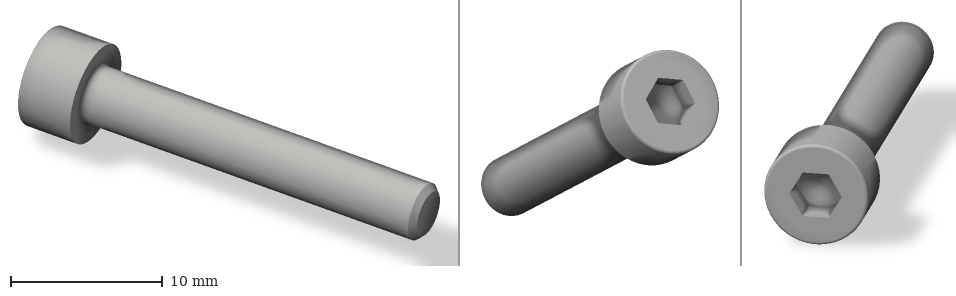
import cadquery as cq
import math

total_length = 29.0
head_diameter = 7.0
head_length = 4.0
head_edge_radius = 0.2
shank_diameter = 4.0
neck_fillet = 0.23
tip_chamfer = 0.44
socket_across_flats = 3.05
socket_depth = 2.0
socket_cone_angle = 120.0

head_radius = head_diameter / 2
shank_radius = shank_diameter / 2


def make_body():
    """Head and shank revolved about X, with a concave fillet under the head."""
    arc_middle = neck_fillet * (1 - math.sqrt(0.5))
    neck_end = head_length + neck_fillet
    return (
        cq.Workplane("XY")
        .lineTo(0, head_radius - head_edge_radius)
        .radiusArc((head_edge_radius, head_radius), head_edge_radius)
        .lineTo(head_length, head_radius)
        .lineTo(head_length, shank_radius + neck_fillet)
        .threePointArc(
            (head_length + arc_middle, shank_radius + arc_middle),
            (neck_end, shank_radius),
        )
        .lineTo(total_length - tip_chamfer, shank_radius)
        .lineTo(total_length, shank_radius - tip_chamfer)
        .lineTo(total_length, 0)
        .close()
        .revolve(360, (0, 0, 0), (1, 0, 0))
    )


def make_socket():
    """Hexagonal recess with corners toward +Y and -Y and a conical bottom."""
    across_corners = socket_across_flats / math.cos(math.pi / 6)
    hexagon = cq.Workplane("YZ").polygon(6, across_corners).extrude(socket_depth)
    cone_radius = socket_across_flats / 2
    cone_depth = cone_radius / math.tan(math.radians(socket_cone_angle / 2))
    cone = (
        cq.Workplane("XY")
        .moveTo(socket_depth, 0)
        .lineTo(socket_depth, cone_radius)
        .lineTo(socket_depth + cone_depth, 0)
        .close()
        .revolve(360, (0, 0, 0), (1, 0, 0))
    )
    return hexagon.union(cone)


result = make_body().cut(make_socket())